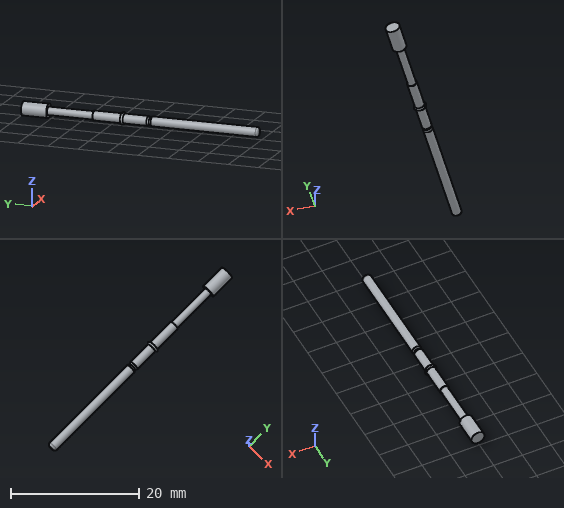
import cadquery as cq

total_length = 39.2
head_diameter = 2.3
head_length = 4.2
plunger_diameter = 1.37
barrel_diameter = 1.6

barrel_start = 11.75
collar_middle = 16.6
groove_middle = 21.1

collar_diameter = 2.05
collar_width = 0.47

groove_width = 0.7
groove_depth = 0.15

tip_radius = 0.4

head_radius = head_diameter / 2
plunger_radius = plunger_diameter / 2
barrel_radius = barrel_diameter / 2
collar_radius = collar_diameter / 2
bead_radius = collar_width / 2
head_end = total_length / 2


def y_at(distance):
    """Y coordinate at a distance from the end face of the head."""
    return head_end - distance


def cylinder(start, end, radius):
    """Cylinder around Y between two distances from the head end face."""
    section = cq.Workplane("XZ", origin=(0, y_at(start), 0)).circle(radius)
    return section.extrude(end - start)


def make_collar():
    """Ring with a half-round outer edge."""
    middle = y_at(collar_middle)
    bead_centre = collar_radius - bead_radius
    return (
        cq.Workplane("XY")
        .moveTo(0, middle - bead_radius)
        .lineTo(bead_centre, middle - bead_radius)
        .threePointArc((collar_radius, middle), (bead_centre, middle + bead_radius))
        .lineTo(0, middle + bead_radius)
        .close()
        .revolve(360, (0, 0, 0), (0, 1, 0))
    )


def make_groove():
    """V-section ring to be cut from the barrel."""
    middle = y_at(groove_middle)
    return (
        cq.Workplane("XY")
        .moveTo(barrel_radius, middle - groove_width / 2)
        .lineTo(barrel_radius - groove_depth, middle)
        .lineTo(barrel_radius, middle + groove_width / 2)
        .close()
        .revolve(360, (0, 0, 0), (0, 1, 0))
    )


head = cylinder(0, head_length, head_radius)
plunger = cylinder(head_length, barrel_start, plunger_radius)
barrel = cylinder(barrel_start, total_length, barrel_radius)
barrel = barrel.faces("<Y").edges().fillet(tip_radius)

result = head.union(plunger).union(barrel).union(make_collar()).cut(make_groove())